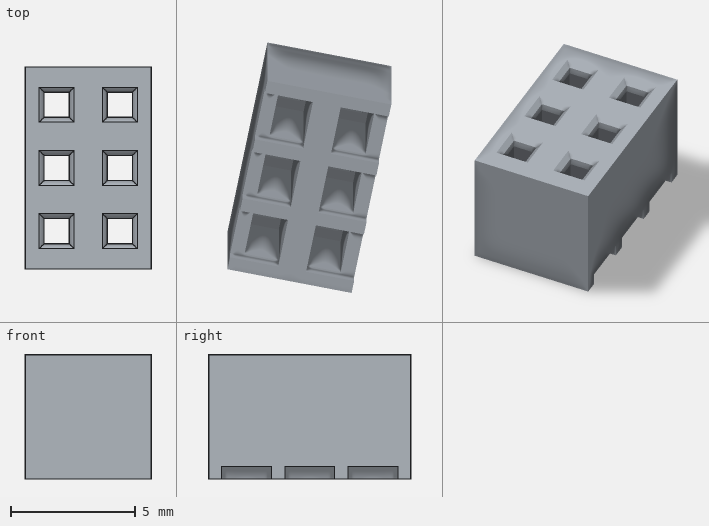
import cadquery as cq

pitch = 2.54
columns = 2
rows = 3

end_allowance = 0.5
body_x = columns * pitch
body_y = rows * pitch + end_allowance
body_z = 5.0

throat_size = 1.0
lead_in = 0.2
mouth_size = throat_size + 2 * lead_in
throat_length = 0.3
cavity_relief_x = 0.2
cavity_relief_y = 0.4
cavity_x = throat_size + 2 * cavity_relief_x
cavity_y = throat_size + 2 * cavity_relief_y
cavity_top = body_z - lead_in - throat_length

notch_width = 2.0
notch_height = 0.5
notch_depth = pitch / 2 + cavity_x / 2


def grid_positions(count):
    """Centred coordinates of evenly pitched contacts."""
    return [(i - (count - 1) / 2) * pitch for i in range(count)]


def bottom_block(size_x, size_y, height):
    """Block centred on the Z axis and standing on Z = 0."""
    return cq.Workplane("XY").box(size_x, size_y, height, centered=(True, True, False))


def make_contact_opening():
    """Full-height opening for one contact, centred on the Z axis."""
    cavity = bottom_block(cavity_x, cavity_y, cavity_top)
    throat = bottom_block(throat_size, throat_size, body_z)
    funnel = (
        cq.Workplane("XY", origin=(0, 0, body_z - lead_in))
        .rect(throat_size, throat_size)
        .workplane(offset=lead_in)
        .rect(mouth_size, mouth_size)
        .loft(ruled=True)
    )
    return cavity.union(throat).union(funnel)


def make_notch():
    """Notch from a side face to the inner wall of the cavity, centred on the Z axis."""
    return bottom_block(notch_depth, notch_width, notch_height)


housing = bottom_block(body_x, body_y, body_z)
opening = make_contact_opening()
notch = make_notch()
notch_offset = (body_x - notch_depth) / 2

for y in grid_positions(rows):
    for x in grid_positions(columns):
        housing = housing.cut(opening.translate((x, y, 0)))
    for side in (-1, 1):
        housing = housing.cut(notch.translate((side * notch_offset, y, 0)))

result = housing.clean()